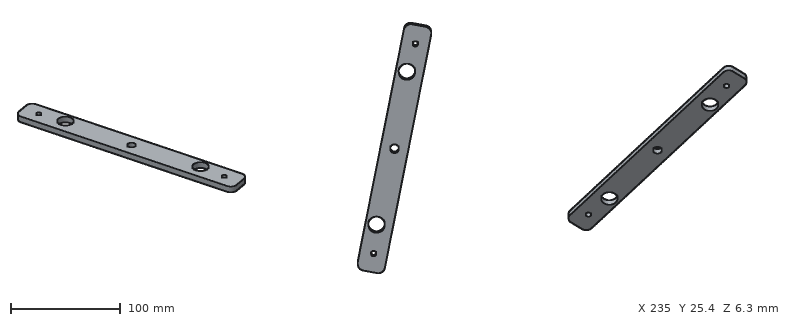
import cadquery as cq

length = 235.0
width = 25.4
thickness = 6.3
corner_radius = 6.3

pivot_diameter = 8.0
screw_diameter = 5.0
screw_spacing = 200.2
window_diameter = 15.0
window_spacing = 146.0
window_offset = 2.5


def drill_pair(body, spacing, offset, diameter):
    """Drill two through holes mirrored about the middle of the plate."""
    centers = [(side * spacing / 2, offset) for side in (-1, 1)]
    return body.faces(">Z").workplane(origin=(0, 0, 0)).pushPoints(centers).hole(diameter)


plate = cq.Workplane("XY").box(length, width, thickness)
plate = plate.edges("|Z").fillet(corner_radius)

plate = plate.faces(">Z").workplane(origin=(0, 0, 0)).hole(pivot_diameter)
plate = drill_pair(plate, screw_spacing, 0, screw_diameter)
plate = drill_pair(plate, window_spacing, window_offset, window_diameter)

result = plate